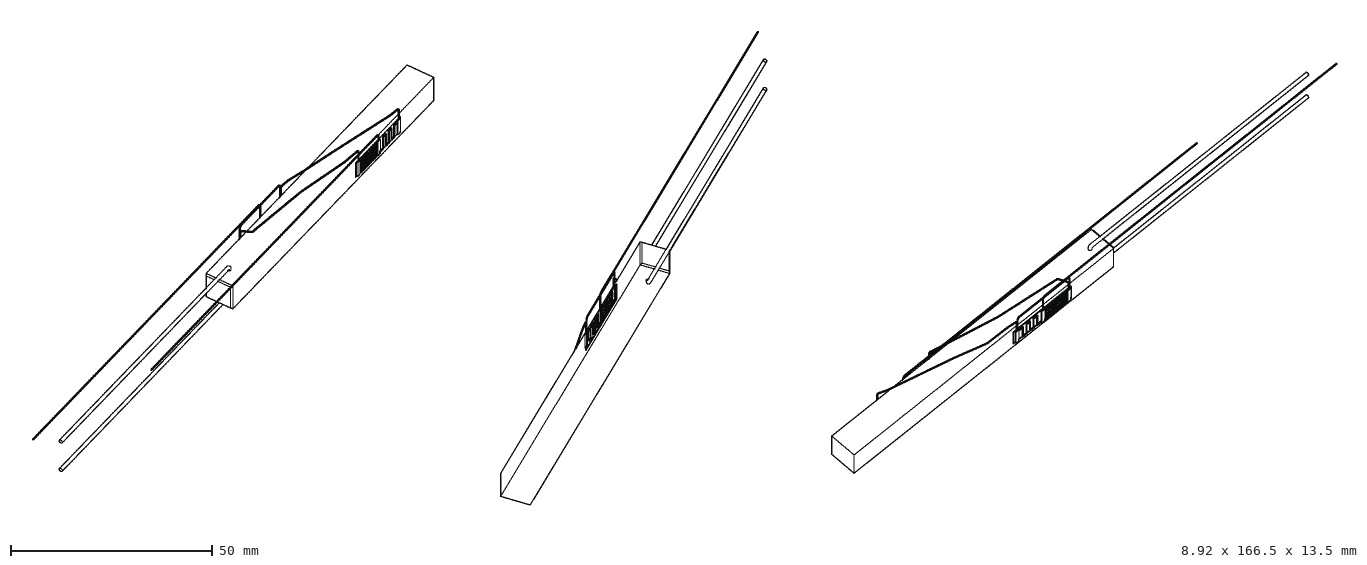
import cadquery as cq
import math

BAR_WIDTH = 8.0
BAR_LENGTH = 90.2
BAR_REAR_Y = 45.0
BAR_CHAMFER = 0.4
BAR_FACE = BAR_WIDTH / 2

PIN_RADIUS = 0.5
PIN_BEND_RADIUS = 0.55
PIN_AXIS_HEIGHT = 4.9
PIN_LEG_Y = -40.5
PIN_END_Y = -115.7
PIN_ROOT_DEPTH = 0.5

GAUGE_LENGTH = 20.0
GAUGE_HEIGHT = 5.0
NEAR_BACKING = 0.2
FAR_BACKING = 0.04
FOIL_THICKNESS = 0.34
PAD_WIDTH = 1.0
PAD_HEIGHT = 4.8
PAD_PITCH = 9.0
STRAND_WIDTH = 0.1
STRAND_COUNT = 5
UPRIGHT_PITCH = 1.25
UPRIGHT_HALF_LENGTH = 2.0
LEVEL_PITCH = 1.15
LEVEL_HALF_LENGTH = 3.5

NEAR_GAUGE_Y = -20.0
FAR_GAUGE_Y = 20.0

WIRE_WIDTH = 0.24
NEAR_X = -(BAR_FACE + NEAR_BACKING + FOIL_THICKNESS / 2)
FAR_X = BAR_FACE + FAR_BACKING + FOIL_THICKNESS / 2
WIRE_FOOT_DEPTH = 0.2
WIRE_FOOT_Z = PAD_HEIGHT / 2 - WIRE_FOOT_DEPTH
WIRE_BEND_RADIUS = 0.8
SIDE_BY_SIDE = 0.2
OUTPUT_HEIGHT = 7.97
OUTPUT_END_Y = -121.53
BRIDGE_HEIGHT = 7.6
BRIDGE_INSET = 0.03
BRIDGE_X = NEAR_X + BRIDGE_INSET
RETURN_HEIGHT = 4.55
RETURN_END_Y = -81.6

CROSSING_BEND_RADIUS = 0.4
CROSSING_RISE_Z = 6.15
REAR_DROP_Z = 6.5
REAR_WAYPOINTS = [
    (3.5, 26.2, 5.65),
    (-1.0, 7.6, 5.65),
    (-3.4, -1.6, 5.3),
    (-4.1, -8.0, 6.5),
]
FRONT_DROP_Z = 5.65
FRONT_WAYPOINTS = [
    (3.4, 6.0, 5.65),
    (0.3, -8.9, 5.65),
    (-1.75, -27.6, 5.65),
]


def bent_path(corners, bend_radius):
    """A wire through the corners, bent to an arc at each inner one."""
    corners = [cq.Vector(*corner) for corner in corners]
    edges = []
    start = corners[0]
    for before, corner, after in zip(corners, corners[1:], corners[2:]):
        way_in = (corner - before).normalized()
        way_out = (after - corner).normalized()
        setback = bend_radius * math.tan(way_in.getAngle(way_out) / 2)
        bend_start = corner - way_in * setback
        bend_end = corner + way_out * setback
        edges.append(cq.Edge.makeLine(start, bend_start))
        edges.append(cq.Edge.makeTangentArc(bend_start, way_in, bend_end))
        start = bend_end
    edges.append(cq.Edge.makeLine(start, corners[-1]))
    return cq.Wire.assembleEdges(edges)


def square_wire(corners, bend_radius):
    """A square wire along the corners, which leaves the first one along Z."""
    section = cq.Workplane("XY", origin=corners[0]).rect(WIRE_WIDTH, WIRE_WIDTH)
    return section.sweep(bent_path(corners, bend_radius))


def make_bar():
    bar = cq.Workplane("XY", origin=(0, BAR_REAR_Y - BAR_LENGTH / 2, 0)).box(BAR_WIDTH, BAR_LENGTH, BAR_WIDTH)
    bar = bar.faces("<Y").chamfer(BAR_CHAMFER)
    corners = [
        (0, PIN_LEG_Y, BAR_FACE - PIN_ROOT_DEPTH),
        (0, PIN_LEG_Y, PIN_AXIS_HEIGHT),
        (0, PIN_END_Y, PIN_AXIS_HEIGHT),
    ]
    section = cq.Workplane("XY", origin=corners[0]).circle(PIN_RADIUS)
    top_pin = section.sweep(bent_path(corners, PIN_BEND_RADIUS))
    return bar.union(top_pin).union(top_pin.mirror("XY"))


def foil_strip(x, start, end):
    """A straight strand between two (y, z) points on the backing."""
    length_y = abs(end[0] - start[0]) + STRAND_WIDTH
    length_z = abs(end[1] - start[1]) + STRAND_WIDTH
    centre = (x, (start[0] + end[0]) / 2, (start[1] + end[1]) / 2)
    return cq.Workplane("XY", origin=centre).box(FOIL_THICKNESS, length_y, length_z)


def upright_grid(centre_y):
    """Meander of vertical strands, from the outer pad's top to the middle pad's bottom."""
    points = [(centre_y + PAD_PITCH / 2, UPRIGHT_HALF_LENGTH)]
    level = UPRIGHT_HALF_LENGTH
    for index in range(STRAND_COUNT):
        y = centre_y + ((STRAND_COUNT - 1) / 2 - index) * UPRIGHT_PITCH
        points.append((y, level))
        level = -level
        points.append((y, level))
    points.append((centre_y - PAD_PITCH / 2, level))
    return points


def level_grid(centre_y):
    """Meander of horizontal strands, from the outer pad's top to the middle pad's bottom."""
    reach = LEVEL_HALF_LENGTH
    z_top = (STRAND_COUNT - 1) / 2 * LEVEL_PITCH
    points = [(centre_y - PAD_PITCH / 2, z_top)]
    for index in range(STRAND_COUNT):
        z = z_top - index * LEVEL_PITCH
        points.append((centre_y - reach, z))
        points.append((centre_y + reach, z))
        reach = -reach
    points.append((centre_y + PAD_PITCH / 2, -z_top))
    return points


def make_gauge(foil_x, backing, centre_y):
    backing_x = math.copysign(BAR_FACE + backing / 2, foil_x)
    gauge = cq.Workplane("XY", origin=(backing_x, centre_y, 0)).box(
        backing, GAUGE_LENGTH, GAUGE_HEIGHT
    )
    for step in (-1, 0, 1):
        pad_centre = (foil_x, centre_y + step * PAD_PITCH, 0)
        pad = cq.Workplane("XY", origin=pad_centre).box(FOIL_THICKNESS, PAD_WIDTH, PAD_HEIGHT)
        gauge = gauge.union(pad)
    upright = upright_grid(centre_y + PAD_PITCH / 2)
    level = level_grid(centre_y - PAD_PITCH / 2)
    for points in (upright, level):
        for start, end in zip(points, points[1:]):
            gauge = gauge.union(foil_strip(foil_x, start, end))
    return gauge


def lead_wire(x, pad_y, run_z, end_y):
    """Wire that rises from a middle pad and runs along -Y to a free end."""
    corners = [(x, pad_y, WIRE_FOOT_Z), (x, pad_y, run_z), (x, end_y, run_z)]
    return square_wire(corners, WIRE_BEND_RADIUS)


def bridge_wire():
    """Loop that joins the two outer pads of the near gauge."""
    first_y = NEAR_GAUGE_Y + PAD_PITCH - SIDE_BY_SIDE
    last_y = NEAR_GAUGE_Y - PAD_PITCH - SIDE_BY_SIDE
    corners = [
        (BRIDGE_X, first_y, WIRE_FOOT_Z),
        (BRIDGE_X, first_y, BRIDGE_HEIGHT),
        (BRIDGE_X, last_y, BRIDGE_HEIGHT),
        (BRIDGE_X, last_y, WIRE_FOOT_Z),
    ]
    return square_wire(corners, WIRE_BEND_RADIUS)


def crossing_wire(pad_side, rise_z, waypoints, drop_z):
    """Wire from an outer pad of the far gauge, slanting over the bar to the same pad of the near gauge."""
    start_y = FAR_GAUGE_Y + pad_side * PAD_PITCH
    end_y = NEAR_GAUGE_Y + pad_side * PAD_PITCH + SIDE_BY_SIDE
    corners = [
        (FAR_X, start_y, WIRE_FOOT_Z),
        (FAR_X, start_y, rise_z),
        *waypoints,
        (NEAR_X, end_y, drop_z),
        (NEAR_X, end_y, WIRE_FOOT_Z),
    ]
    return square_wire(corners, CROSSING_BEND_RADIUS)


def make_gauge_circuit():
    circuit = make_gauge(NEAR_X, NEAR_BACKING, NEAR_GAUGE_Y)
    parts = (
        make_gauge(FAR_X, FAR_BACKING, FAR_GAUGE_Y),
        lead_wire(NEAR_X, NEAR_GAUGE_Y, OUTPUT_HEIGHT, OUTPUT_END_Y),
        lead_wire(FAR_X, FAR_GAUGE_Y, RETURN_HEIGHT, RETURN_END_Y),
        bridge_wire(),
        crossing_wire(1, CROSSING_RISE_Z, REAR_WAYPOINTS, REAR_DROP_Z),
        crossing_wire(-1, CROSSING_RISE_Z, FRONT_WAYPOINTS, FRONT_DROP_Z),
    )
    for part in parts:
        circuit = circuit.union(part)
    return circuit


bar = make_bar()
gauge_circuit = make_gauge_circuit()
result = cq.Compound.makeCompound([bar.solids().val(), gauge_circuit.solids().val()])